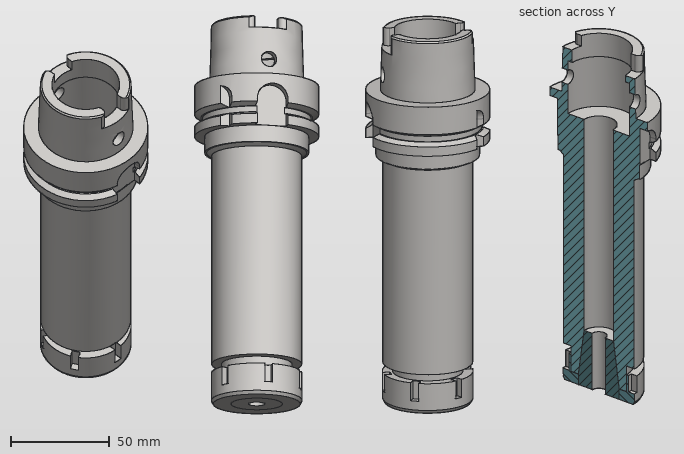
import cadquery as cq
import math


total_length = 197.0
spigot_length = 32.0
flange_length = 26.0
neck_length = 8.5
neck_cone_height = 1.5
body_bottom_z = 20.7
nut_height = 16.0
nose_bottom_z = 6.0

flange_top_z = total_length - spigot_length
flange_bottom_z = flange_top_z - flange_length
neck_bottom_z = flange_bottom_z - neck_length

flange_radius = 31.5
spigot_base_radius = 24.0
spigot_tip_radius = 23.0
spigot_chamfer = 0.8
neck_radius = 26.4
neck_cone_radius = 25.5
body_radius = 22.9
nose_radius = 18.0

groove_radius = 27.5
groove_mouth_radius = 28.4
groove_rim_height = 5.0
groove_floor_height = 3.2
groove_lower_side_height = 1.5
groove_upper_side_height = 1.8

mouth_radius = 17.1
mouth_depth = 13.4
chamber_radius = 19.7
chamber_depth = 43.3
core_radius = 9.3

drive_slot_width = 12.5
left_slot_depth = 6.1
right_slot_depth = 9.5
tooth_corner_radius = 2.5

cross_hole_radius = 4.0
cross_hole_depth = 22.7

slot_top_gap = 5.1
keyway_width = 16.2
keyway_floor_x = 26.5
notch_width = 12.6
notch_floor_x = 19.9
notch_inner_y = 19.9

nut_radius = 23.0
nut_chamfer_width = 1.0
nut_chamfer_height = 1.8
spanner_slot_count = 6
spanner_slot_width = 4.1
spanner_slot_depth = 9.5
spanner_slot_floor_radius = 19.3

collet_radius = 13.0
collet_bore_radius = 4.1
collet_half_angle = 8.0
collet_taper_height = (collet_radius - core_radius) / math.tan(math.radians(collet_half_angle))
collet_top_z = nose_bottom_z + collet_taper_height


def revolve_profile(points):
    """Turn a closed (radius, z) outline about the Z axis."""
    return cq.Workplane("XZ").polyline(points).close().revolve(360, (0, 0), (0, 1))


def block(x_min, x_max, y_min, y_max, z_min, z_max):
    """Box given by its limits on each axis."""
    size = (x_max - x_min, y_max - y_min, z_max - z_min)
    return cq.Workplane("XY").box(*size, centered=False).translate((x_min, y_min, z_min))


def holder_blank():
    """Turned outside of the holder, still solid inside."""
    rim_top = flange_bottom_z + groove_rim_height
    groove_floor_bottom = rim_top + groove_lower_side_height
    groove_floor_top = groove_floor_bottom + groove_floor_height
    groove_top = groove_floor_top + groove_upper_side_height
    return revolve_profile([
        (0, nose_bottom_z),
        (nose_radius, nose_bottom_z),
        (nose_radius, body_bottom_z),
        (body_radius, body_bottom_z),
        (body_radius, neck_bottom_z - neck_cone_height),
        (neck_cone_radius, neck_bottom_z),
        (neck_radius, neck_bottom_z),
        (neck_radius, flange_bottom_z),
        (flange_radius, flange_bottom_z),
        (flange_radius, rim_top),
        (groove_mouth_radius, groove_floor_bottom),
        (groove_radius, groove_floor_bottom),
        (groove_radius, groove_floor_top),
        (groove_mouth_radius, groove_floor_top),
        (flange_radius, groove_top),
        (flange_radius, flange_top_z),
        (spigot_base_radius, flange_top_z),
        (spigot_tip_radius, total_length - spigot_chamfer),
        (spigot_tip_radius - spigot_chamfer, total_length),
        (0, total_length),
    ])


def holder_bores():
    """Mouth, wider clamping chamber, core bore and tapered collet seat."""
    mouth_bottom = total_length - mouth_depth
    chamber_bottom = total_length - chamber_depth
    return revolve_profile([
        (0, nose_bottom_z),
        (collet_radius, nose_bottom_z),
        (core_radius, collet_top_z),
        (core_radius, chamber_bottom),
        (chamber_radius, chamber_bottom),
        (chamber_radius, mouth_bottom),
        (mouth_radius, mouth_bottom),
        (mouth_radius, total_length),
        (0, total_length),
    ])


def drive_slot(side, depth):
    """Slot through the rim on one X side, flared where the tooth corners are rounded."""
    half_width = drive_slot_width / 2
    corner_y = half_width + tooth_corner_radius
    corner_x = math.sqrt((spigot_tip_radius - tooth_corner_radius) ** 2 - corner_y ** 2)
    tangent_scale = spigot_tip_radius / (spigot_tip_radius - tooth_corner_radius)
    tangent_x = corner_x * tangent_scale
    tangent_y = corner_y * tangent_scale
    outward_angle = math.atan2(corner_y, corner_x)
    middle_angle = (outward_angle - math.pi / 2) / 2
    middle_x = corner_x + tooth_corner_radius * math.cos(middle_angle)
    middle_y = corner_y + tooth_corner_radius * math.sin(middle_angle)
    return (
        cq.Workplane("XY", origin=(0, 0, total_length - depth))
        .moveTo(0, -half_width)
        .lineTo(side * corner_x, -half_width)
        .threePointArc((side * middle_x, -middle_y), (side * tangent_x, -tangent_y))
        .lineTo(side * flange_radius, -tangent_y)
        .lineTo(side * flange_radius, tangent_y)
        .lineTo(side * tangent_x, tangent_y)
        .threePointArc((side * middle_x, middle_y), (side * corner_x, half_width))
        .lineTo(0, half_width)
        .close()
        .extrude(depth)
    )


def arched_slot(side, floor_x, center_y, width):
    """Round-topped slot cut along X into the flange, open at the flange bottom."""
    radius = width / 2
    arch_z = flange_top_z - slot_top_gap - radius
    x_min, x_max = sorted((side * floor_x, side * flange_radius))
    legs = block(x_min, x_max, center_y - radius, center_y + radius, flange_bottom_z, arch_z)
    arch = (
        cq.Workplane("YZ", origin=(x_min, center_y, arch_z))
        .circle(radius)
        .extrude(x_max - x_min)
    )
    return legs.union(arch)


def make_holder():
    cross_hole = (
        cq.Workplane("YZ", origin=(0, 0, total_length - cross_hole_depth))
        .circle(cross_hole_radius)
        .extrude(flange_radius, both=True)
    )
    notch_center_y = notch_inner_y + notch_width / 2
    return (
        holder_blank()
        .cut(holder_bores())
        .cut(drive_slot(-1, left_slot_depth))
        .cut(drive_slot(1, right_slot_depth))
        .cut(cross_hole)
        .cut(arched_slot(-1, keyway_floor_x, 0, keyway_width))
        .cut(arched_slot(1, keyway_floor_x, 0, keyway_width))
        .cut(arched_slot(-1, notch_floor_x, notch_center_y, notch_width))
    )


def make_nut():
    nut = revolve_profile([
        (collet_radius, 0),
        (nut_radius - nut_chamfer_width, 0),
        (nut_radius, nut_chamfer_height),
        (nut_radius, nut_height),
        (nose_radius, nut_height),
        (nose_radius, nose_bottom_z),
        (collet_radius, nose_bottom_z),
    ])
    half_width = spanner_slot_width / 2
    slot = block(
        spanner_slot_floor_radius, flange_radius,
        -half_width, half_width,
        nut_height - spanner_slot_depth, nut_height,
    )
    for index in range(spanner_slot_count):
        angle = index * 360 / spanner_slot_count
        nut = nut.cut(slot.rotate((0, 0, 0), (0, 0, 1), angle))
    return nut


def make_collet():
    """Collet flush with the nut face, tapered where it sits in the holder."""
    return revolve_profile([
        (collet_bore_radius, 0),
        (collet_radius, 0),
        (collet_radius, nose_bottom_z),
        (core_radius, collet_top_z),
        (collet_bore_radius, collet_top_z),
    ])


holder = make_holder()
nut = make_nut()
collet = make_collet()

result = cq.Compound.makeCompound([holder.val(), nut.val(), collet.val()])